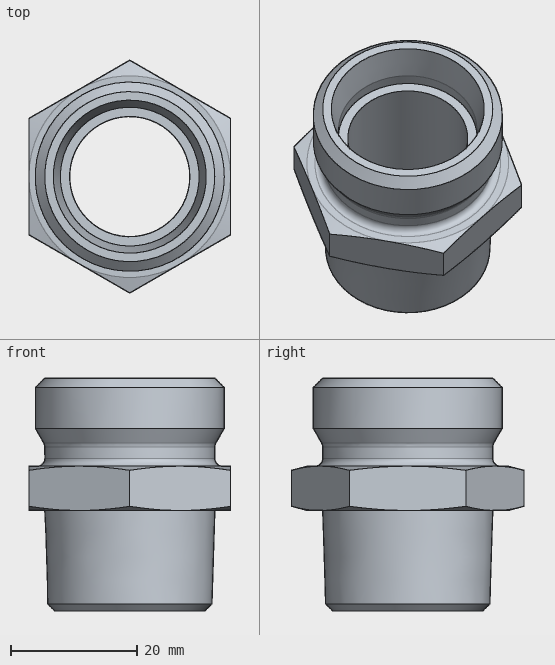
import cadquery as cq
import math

total_height = 37.0
hex_across_flats = 32.0
hex_bottom = 16.0
hex_top = 23.0
hex_chamfer_angle = 15.0

collar_diameter = 30.0
collar_chamfer = 1.5
collar_bottom = 29.0
neck_diameter = 27.0
neck_flank_angle = 30.0
neck_fillet = 1.22
base_margin = 0.37

spigot_end_diameter = 26.12
spigot_chamfer = 1.2
taper_ratio = 1 / 16

bore_diameter = 19.0
seat_diameter = 22.0
mouth_diameter = 24.27
cone_depth = 5.5
seat_depth = 7.5


def revolve_profile(points):
    """Revolve a closed (radius, height) outline about the Z axis."""
    return cq.Workplane("XZ").polyline(points).close().revolve(360, (0, 0), (0, 1))


def make_hexagon():
    """Hexagon with corners on the Y axis and conically chamfered ends."""
    height = hex_top - hex_bottom
    flat_radius = hex_across_flats / 2
    corner_radius = flat_radius / math.cos(math.radians(30))
    corner_drop = (corner_radius - flat_radius) * math.tan(math.radians(hex_chamfer_angle))
    prism = (
        cq.Workplane("XY", origin=(0, 0, hex_bottom))
        .polygon(6, 2 * corner_radius)
        .extrude(height)
        .rotate((0, 0, 0), (0, 0, 1), 30)
    )
    chamfer_envelope = revolve_profile([
        (0, hex_bottom),
        (flat_radius, hex_bottom),
        (corner_radius, hex_bottom + corner_drop),
        (corner_radius, hex_top - corner_drop),
        (flat_radius, hex_top),
        (0, hex_top),
    ])
    return prism.intersect(chamfer_envelope)


def make_collar():
    """Chamfered collar above a neck with filleted corners."""
    collar_radius = collar_diameter / 2
    neck_radius = neck_diameter / 2
    flank_height = (collar_radius - neck_radius) / math.tan(math.radians(neck_flank_angle))
    neck_top = collar_bottom - flank_height
    base_radius = neck_radius + neck_fillet + base_margin
    collar = revolve_profile([
        (0, hex_bottom),
        (base_radius, hex_bottom),
        (base_radius, hex_top),
        (neck_radius, hex_top),
        (neck_radius, neck_top),
        (collar_radius, collar_bottom),
        (collar_radius, total_height - collar_chamfer),
        (collar_radius - collar_chamfer, total_height),
        (0, total_height),
    ])
    neck_middle = (0, 0, (hex_top + neck_top) / 2)
    neck_face = collar.faces("%CYLINDER").faces(cq.selectors.NearestToPointSelector(neck_middle))
    neck_corners = neck_face.edges("%CIRCLE").vals()
    return collar.newObject(neck_corners).fillet(neck_fillet)


def make_spigot():
    """Tapered spigot, wider at the hexagon, with a chamfered free end."""
    end_radius = spigot_end_diameter / 2
    root_radius = end_radius + (hex_bottom - spigot_chamfer) * taper_ratio / 2
    return revolve_profile([
        (0, 0),
        (end_radius - spigot_chamfer, 0),
        (end_radius, spigot_chamfer),
        (root_radius, hex_bottom),
        (0, hex_bottom),
    ])


def make_bore():
    """Through bore, cylindrical seat and conical socket mouth."""
    bore_radius = bore_diameter / 2
    seat_radius = seat_diameter / 2
    return revolve_profile([
        (0, 0),
        (bore_radius, 0),
        (bore_radius, total_height - seat_depth),
        (seat_radius, total_height - seat_depth),
        (seat_radius, total_height - cone_depth),
        (mouth_diameter / 2, total_height),
        (0, total_height),
    ])


result = make_hexagon().union(make_collar()).union(make_spigot()).cut(make_bore())